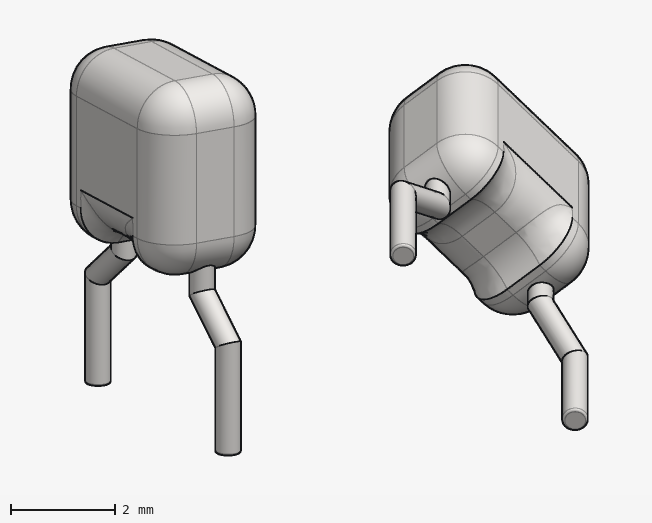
import cadquery as cq
import math

body_length = 4.0
body_width = 2.5
total_height = 7.2
lead_reach = 3.32
body_height = total_height - lead_reach
edge_radius = body_width / 3
flat_width = body_width - 2 * edge_radius

relief_length = 2.0
relief_top_z = 1.2
relief_height = relief_top_z - edge_radius
blend_radius = edge_radius
cutter_reach = 2 * edge_radius
arc_overrun = 1.1
first_angle = 0.5
last_angle = 90.0
section_count = 12

lead_diameter = 0.5
lead_exit_x = 1.5
lead_tip_x = 2.5
upper_bend_z = -0.37
lower_bend_z = -1.145
tip_radius = 0.05
lead_start_z = edge_radius


def rounded_block():
    """Box with every edge rounded, standing on Z = 0."""
    block = cq.Workplane("XY").box(body_length, body_width, body_height, centered=(True, True, False))
    return block.edges().fillet(edge_radius)


def rim_distance(angle):
    """Distance from the roof rounding axis to the outer skin of the block, along a radial line.

    The angle is measured from the front face (0) down to the bottom face (90 degrees).
    """
    if edge_radius * math.sin(angle) < relief_height * math.cos(angle):
        return edge_radius / math.cos(angle)
    drop = relief_height * math.sin(angle)
    side = relief_height * math.cos(angle)
    return drop + math.sqrt(edge_radius**2 - side**2)


def blend_length(angle):
    """X distance from the relief rim to where the rolling ball touches the relief roof."""
    ball_out = (edge_radius + blend_radius) * math.cos(angle)
    ball_down = (edge_radius + blend_radius) * math.sin(angle)
    below_flat = max(ball_down - relief_height, 0)
    rim_gap = math.hypot(ball_out, below_flat) - edge_radius
    return math.sqrt(blend_radius**2 - rim_gap**2)


def relief_section(angle_degrees):
    """Cutter section in a radial plane: flat roof with a tangent arc falling through the rim at each end."""
    angle = math.radians(angle_degrees)
    plane = cq.Plane(
        origin=(0, -flat_width / 2, relief_top_z),
        xDir=(1, 0, 0),
        normal=(0, math.sin(angle), -math.cos(angle)),
    )
    run = blend_length(angle)
    rise = rim_distance(angle) - edge_radius
    roof_x = relief_length / 2 - run
    arc_radius = (run**2 + rise**2) / (2 * rise)
    sweep = math.asin(run / arc_radius) * arc_overrun

    def arc_point(side, turn):
        return (
            side * (roof_x + arc_radius * math.sin(turn)),
            edge_radius + arc_radius * (1 - math.cos(turn)),
        )

    end_x = arc_point(1, sweep)[0]
    return (
        cq.Workplane(plane)
        .moveTo(-roof_x, edge_radius)
        .lineTo(roof_x, edge_radius)
        .threePointArc(arc_point(1, sweep / 2), arc_point(1, sweep))
        .lineTo(end_x, cutter_reach)
        .lineTo(-end_x, cutter_reach)
        .lineTo(*arc_point(-1, sweep))
        .threePointArc(arc_point(-1, sweep / 2), arc_point(-1, 0))
        .close()
    )


def cut_relief(body):
    """Loft the cutter round the front and back edges and run it straight across the bottom."""
    step = (last_angle - first_angle) / (section_count - 1)
    sections = [relief_section(first_angle + i * step).val() for i in range(section_count)]
    front = cq.Workplane(cq.Solid.makeLoft(sections))
    middle = relief_section(last_angle).extrude(flat_width)
    return body.cut(middle).cut(front).cut(front.mirror("XZ"))


def make_lead(side):
    """Bent round wire; side is -1 or +1 along X."""
    path = cq.Workplane("XZ").polyline(
        [
            (side * lead_exit_x, lead_start_z),
            (side * lead_exit_x, upper_bend_z),
            (side * lead_tip_x, lower_bend_z),
            (side * lead_tip_x, -lead_reach),
        ]
    )
    wire = (
        cq.Workplane("XY", origin=(side * lead_exit_x, 0, lead_start_z))
        .circle(lead_diameter / 2)
        .sweep(path, transition="right")
    )
    return wire.faces("<Z").edges().fillet(tip_radius).cut(rounded_block())


body = cut_relief(rounded_block())
leads = [make_lead(side) for side in (-1, 1)]

result = cq.Compound.makeCompound([body.solids().val(), *[lead.solids().val() for lead in leads]])